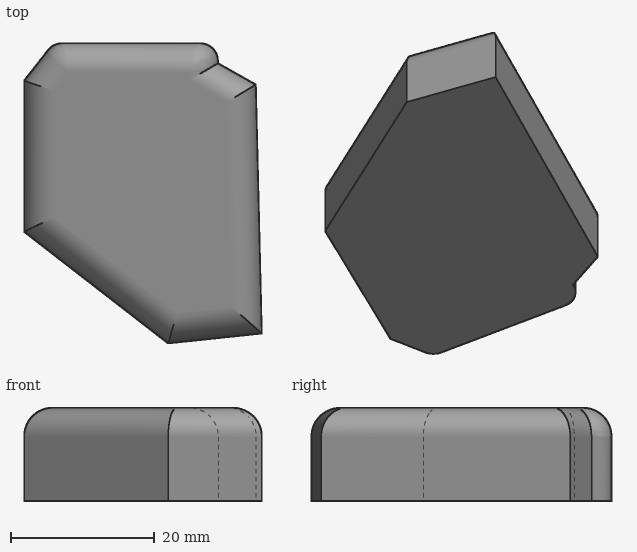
import cadquery as cq

width = 33.1
depth = 41.8
height = 13.0

left_front_y = 15.55
left_back_y = 36.55
back_left_x = 4.1
back_right_x = 27.0
notch_y = 39.0
right_back_x = 32.25
right_back_y = 36.0
right_front_y = 1.38
front_tip_x = 20.05

corner_radius = 2.5
top_radius = 4.0


def make_outline():
    """Closed polygon of the block, with sharp corners."""
    corners = [
        (0, left_back_y),
        (0, left_front_y),
        (front_tip_x, 0),
        (width, right_front_y),
        (right_back_x, right_back_y),
        (back_right_x, notch_y),
        (back_right_x, depth),
        (back_left_x, depth),
    ]
    return cq.Workplane("XY").polyline(corners).close()


block = make_outline().extrude(height)

rounded_block = block.faces(">Y").edges("|Z").fillet(corner_radius)

result = rounded_block.faces(">Z").edges().fillet(top_radius)